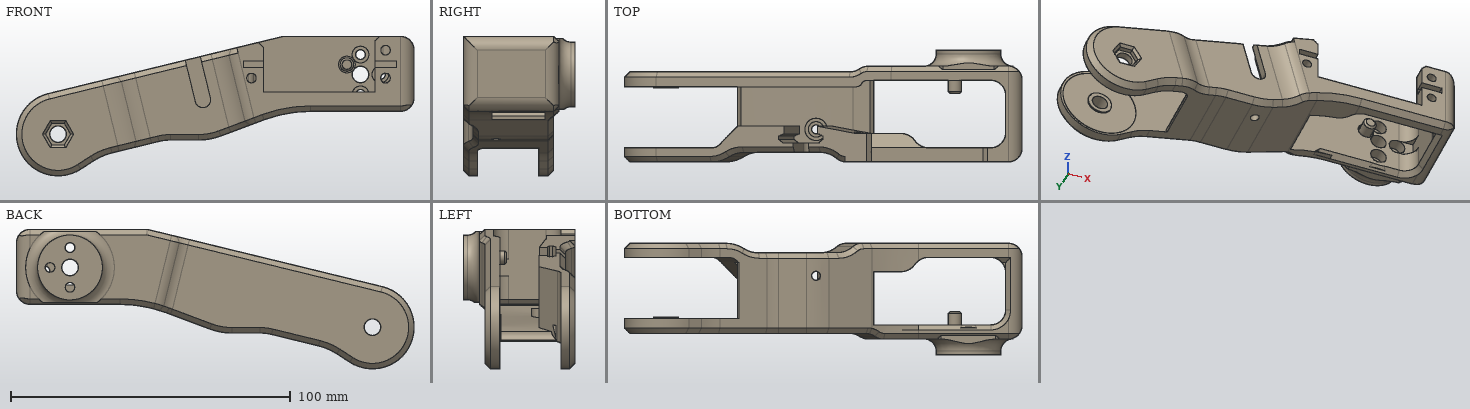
import cadquery as cq
import math

ARM_TILT = 13.7
PIVOT_RADIUS = 15.0
TOP_Z = 35.0
BASE_Z = 8.1
END_X = 127.3
REACH = 170.7

TAIL_ANGLE = -57.0
ARM_LOWER_V = -11.1
BELLY_Z = -2.1
RISE_SLOPE = 0.375
RISE_START_X = 54.4
CORNER_RADIUS = 5.0
LOWER_EDGE_RADII = (21.3, 17.1, 22.8, 47.0)
EDGE_CHAMFER = 2.0

PLATE = 5.1
FRONT_STEP = 3.4
STEP_IN_U = (19.8, 26.5, 31.7)
STEP_OUT_U = (59.9, 66.0, 69.5)

RAMP_U = (22.2, 30.0)
RAMP_BLEND = 1.7
BLOCK_Y = 13.0
BLOCK_TAPER_U = (58.5, 73.1)
BLOCK_END_Y = 10.2
BLOCK_LOWER_SLOPE = 0.34
BLOCK_LOWER_X = 25.6
BLOCK_LOWER_Z = 0.9

BACK_INNER_Y = (26.9, 29.2)
BACK_OUTER_Y = (32.3, 34.3)
BACK_OVERLAP = 0.7
BACK_OUTER_BEND_U = (71.0, 77.5)
BACK_INNER_BEND_X = (68.0, 71.9)

END_WALL_INNER_X = 121.4
INNER_RADIUS = 5.3
MOUTH_BEVEL = 1.8
WINDOW_X = (73.4, 113.3)
WINDOW_SILL_Z = 15.1
WINDOW_LIPS = (4.0, 1.7)
GUSSET_X = (84.0, 93.9)

WEB_NOSE_X = 25.5
WEB_NOSE_Z = -1.5
WEB_FOOT_Z = -4.5
WEB_NOSE_BULGE = 0.35
WEB_CREST_X = 45.5
WEB_CREST_Z = 2.7
WEB_END_SLOPE = 0.4
WEB_LEDGE_Z = 7.8
WEB_LEDGE_X = (66.9, 74.3)
WEB_ROUND = 1.3

SLOT_U = 53.2
SLOT_WIDTH = 5.5
SLOT_END_V = -3.1
HEAD_HALF = 8.1
HEAD_FLAT_HALF = 6.5
HEAD_OPENING_HALF = 6.1
HEAD_Y = (6.8, 8.1, 9.2, 10.0)

POST_X = 53.6
POST_Y = 11.7
POST_DIAMETER = 8.0
POST_TOP_Z = 6.7
POST_BORE = 5.5
POST_BORE_DEPTH = 1.4
POST_HOLE = 3.1

PIVOT_HOLE = 5.8
HEX_CORNERS = 9.0
HEX_MOUTH_CORNERS = 11.1
HEX_DEPTH = 2.5
HEX_MOUTH_DEPTH = 1.0
WASHER_DISC = 28.0
WASHER_DEPTH = 0.1
WASHER_PAD = 9.0
WASHER_PAD_RISE = 0.4

BOSS_X = 108.1
BOSS_Z = 21.3
BOSS_DIAMETER = 23.2
BOSS_FACE_Y = 40.0
BOSS_FLARE = 4.3
BOSS_LIP = 1.3
BOSS_HOLE = 5.8
SCREW_CIRCLE_RADIUS = 7.1
SCREW_HOLE = 3.4
SCREW_BORE = 6.0
SCREW_BORE_DEPTH = 4.3
PIN_X = 103.3
PIN_Z = 24.9
PIN_DIAMETER = 4.8
PIN_TIP_Y = 24.5
PIN_CHAMFER = 0.7
PIN_SEAT_DEPTH = 1.1

COVER_HOLE = 3.4
COVER_HOLES = ((69.2, 20.0), (117.1, 20.0), (117.1, 30.0))
COVER_HOLE_DEPTH = 14.2
GROOVES_X = ((66.3, WINDOW_X[0]), (WINDOW_X[1], 121.0))
GROOVE_Z = 23.9
GROOVE_HEIGHT = 2.3
GROOVE_DEPTH = 3.5

SIN = math.sin(math.radians(ARM_TILT))
COS = math.cos(math.radians(ARM_TILT))
ARM_DIRECTION = cq.Vector(COS, 0, SIN)


def side_prism(wire, y_from, y_to):
    """Extrude an XZ sketch made by `wire(workplane)` from y_from to y_to."""
    plane = cq.Workplane("XZ", origin=(0, y_from, 0))
    return wire(plane).extrude(y_from - y_to)


def cylinder(x, z, diameter, y_from, y_to):
    return side_prism(lambda w: w.center(x, z).circle(diameter / 2), y_from, y_to)


def box(x_from, x_to, y_from, y_to, z_from, z_to):
    size = (x_to - x_from, y_to - y_from, z_to - z_from)
    return cq.Workplane().box(*size, centered=False).translate((x_from, y_from, z_from))


def arm_plan(v_from):
    """Workplane with local axes u and Y, starting at v_from along the arm's cross direction."""
    origin = (-v_from * SIN, 0, v_from * COS)
    return cq.Workplane(cq.Plane(origin=origin, xDir=(COS, 0, SIN), normal=(-SIN, 0, COS)))


def middle(along, across):
    """Middle of a step given its two places along and its two levels across."""
    return (sum(along) / 2, sum(across) / 2)


def step_turn(along, level_from, level_to):
    """Point of a step where the bend reverses; along = (start, turn, end)."""
    share = (along[1] - along[0]) / (along[2] - along[0])
    return (along[1], level_from + share * (level_to - level_from))


def s_bend(sketch, turn, end):
    """Two tangent arcs meeting at `turn`, continuing the straight line before them."""
    first = sketch.tangentArcPoint(turn, relative=False)
    return first.tangentArcPoint(end, relative=False)


def outline_prism(y_from, y_to):
    """Full side outline of the part."""
    tail = math.radians(TAIL_ANGLE)
    tail_point = (PIVOT_RADIUS * math.cos(tail), PIVOT_RADIUS * math.sin(tail))
    tail_slope = -1 / math.tan(tail)
    arm_slope = SIN / COS
    arm_lower_z = ARM_LOWER_V / COS
    neck_x = (arm_lower_z - tail_point[1] + tail_slope * tail_point[0]) / (tail_slope - arm_slope)
    neck = (neck_x, arm_lower_z + arm_slope * neck_x)
    belly_start = ((BELLY_Z - arm_lower_z) / arm_slope, BELLY_Z)
    rise_start = (RISE_START_X, BELLY_Z)
    rise_end = (RISE_START_X + (BASE_Z - BELLY_Z) / RISE_SLOPE, BASE_Z)
    top_start = ((TOP_Z * COS - PIVOT_RADIUS) / SIN, TOP_Z)

    def wire(w):
        return (
            w.moveTo(-PIVOT_RADIUS * SIN, PIVOT_RADIUS * COS)
            .lineTo(*top_start)
            .lineTo(END_X, TOP_Z)
            .lineTo(END_X, BASE_Z)
            .lineTo(*rise_end)
            .lineTo(*rise_start)
            .lineTo(*belly_start)
            .lineTo(*neck)
            .lineTo(*tail_point)
            .threePointArc((-PIVOT_RADIUS, 0), (-PIVOT_RADIUS * SIN, PIVOT_RADIUS * COS))
            .close()
        )

    def round_corner(body, x, z, radius):
        at = cq.selectors.BoxSelector((x - 0.1, y_from - 1.4, z - 0.1), (x + 0.1, y_to + 1.4, z + 0.1))
        return body.edges("|Y").edges(at).fillet(radius)

    body = side_prism(wire, y_from, y_to)
    for corner, radius in zip((neck, belly_start, rise_start, rise_end), LOWER_EDGE_RADII):
        body = round_corner(body, *corner, radius)
    for z in (BASE_Z, TOP_Z):
        body = round_corner(body, END_X, z, CORNER_RADIUS)
    return body


def is_outer_rim(edge, y_from, y_to):
    """True for the edges of an outer face that run along the side outline."""
    span = edge.endPoint() - edge.startPoint()
    crosses_face = abs(span.dot(ARM_DIRECTION)) < 0.01 and abs(span.y) < 0.01 and span.Length > PIVOT_RADIUS
    joins_faces = abs(span.y) > 0.9 * span.Length
    return y_from < edge.Center().y < y_to and not crosses_face and not joins_faces


def bevel_outer_rim(plate, y_from, y_to):
    rims = [e for e in plate.edges().vals() if is_outer_rim(e, y_from, y_to)]
    return plate.newObject(rims).chamfer(EDGE_CHAMFER)


def front_arm():
    """Stepped front arm together with the block on its inner side."""
    plan = arm_plan(-REACH).moveTo(-REACH, 0).lineTo(STEP_IN_U[0], 0)
    plan = s_bend(plan, step_turn(STEP_IN_U, 0, FRONT_STEP), (STEP_IN_U[2], FRONT_STEP))
    plan = plan.lineTo(STEP_OUT_U[0], FRONT_STEP)
    plan = s_bend(plan, step_turn(STEP_OUT_U, FRONT_STEP, 0), (STEP_OUT_U[2], 0))
    blend_rise = RAMP_BLEND * math.sqrt(0.5)
    plan = (
        plan.lineTo(REACH, 0)
        .lineTo(REACH, BLOCK_END_Y)
        .lineTo(BLOCK_TAPER_U[1], BLOCK_END_Y)
        .lineTo(BLOCK_TAPER_U[0], BLOCK_Y)
        .lineTo(RAMP_U[1], BLOCK_Y)
        .lineTo(RAMP_U[0] + blend_rise, PLATE + blend_rise)
        .tangentArcPoint((RAMP_U[0] - RAMP_BLEND, PLATE), relative=False)
        .lineTo(-REACH, PLATE)
        .close()
    )
    arm = outline_prism(0, BLOCK_Y).intersect(plan.extrude(2 * REACH))
    arm = bevel_outer_rim(arm, -1.4, PLATE - 0.1)

    square_rim = arm_plan(-REACH).moveTo(STEP_OUT_U[2], 0).rect(REACH, PLATE, centered=False)
    above_base = box(0, END_X, 0, PLATE, BASE_Z + CORNER_RADIUS, TOP_Z)
    upper = outline_prism(0, PLATE).intersect(above_base).intersect(square_rim.extrude(2 * REACH))
    return arm.union(upper).cut(below_block())


def below_block():
    """Space under the tapered front end of the block."""

    def wire(w):
        drop = BLOCK_LOWER_SLOPE * BLOCK_LOWER_X
        return w.polyline(
            [
                (0, BLOCK_LOWER_Z - drop),
                (BLOCK_LOWER_X, BLOCK_LOWER_Z),
                (BLOCK_LOWER_X, -REACH),
                (0, -REACH),
            ]
        ).close()

    return side_prism(wire, PLATE + RAMP_BLEND, BLOCK_Y)


def back_plate():
    """Rear arm and boss plate; the outer step follows the arm tilt, the inner one is upright."""
    outer = arm_plan(-REACH).moveTo(-REACH, 0).lineTo(-REACH, BACK_OUTER_Y[0])
    outer = outer.lineTo(BACK_OUTER_BEND_U[0], BACK_OUTER_Y[0])
    outer = s_bend(outer, middle(BACK_OUTER_BEND_U, BACK_OUTER_Y), (BACK_OUTER_BEND_U[1], BACK_OUTER_Y[1]))
    outer = outer.lineTo(REACH, BACK_OUTER_Y[1]).lineTo(REACH, 0).close()

    inner = cq.Workplane("XY", origin=(0, 0, -REACH)).moveTo(-REACH, 0).lineTo(-REACH, BACK_INNER_Y[0])
    inner = inner.lineTo(BACK_INNER_BEND_X[0], BACK_INNER_Y[0])
    inner = s_bend(inner, middle(BACK_INNER_BEND_X, BACK_INNER_Y), (BACK_INNER_BEND_X[1], BACK_INNER_Y[1]))
    inner = inner.lineTo(REACH, BACK_INNER_Y[1]).lineTo(REACH, 0).close()

    plate = outline_prism(BACK_INNER_Y[0], BACK_OUTER_Y[1]).intersect(outer.extrude(2 * REACH))
    plate = bevel_outer_rim(plate, BACK_OUTER_Y[0] - 0.3, BACK_OUTER_Y[1] + 1.4)
    return plate.cut(inner.extrude(2 * REACH))


def end_wall():
    wall_y = (EDGE_CHAMFER, BACK_OUTER_Y[1] - EDGE_CHAMFER)
    return outline_prism(*wall_y).intersect(box(WINDOW_X[1], END_X, *wall_y, 0, TOP_Z))


def opening():
    """Well between the front rail, the end wall and the back plate, open above and below."""
    well = box(WINDOW_X[0], END_WALL_INNER_X, PLATE, BACK_INNER_Y[1], -REACH, REACH)
    return well.edges("|Z and >X").fillet(INNER_RADIUS)


def opening_flare():
    """Bevel around the lower mouth of the opening, at the back plate and the end wall."""
    x_to = END_WALL_INNER_X + MOUTH_BEVEL
    y_to = BACK_INNER_Y[1] + MOUTH_BEVEL
    mouth = (
        cq.Workplane("XY", origin=(0, 0, BASE_Z))
        .moveTo(GUSSET_X[0], PLATE)
        .lineTo(x_to, PLATE)
        .lineTo(x_to, y_to - INNER_RADIUS - MOUTH_BEVEL)
        .radiusArc((x_to - INNER_RADIUS - MOUTH_BEVEL, y_to), -INNER_RADIUS - MOUTH_BEVEL)
        .lineTo(GUSSET_X[0], y_to)
        .close()
    )
    return mouth.extrude(MOUTH_BEVEL, taper=45)


def end_envelope(back_y):
    """Block reaching back to back_y that rounds the two upright corners of the end wall."""
    block = box(-REACH, END_X, 0, back_y, -REACH, REACH)
    return block.edges("|Z and >X").fillet(CORNER_RADIUS)


def window():
    """Cut-out in the front plate with slanted lips at its two upper corners."""

    def wire(w):
        return w.polyline(
            [
                (WINDOW_X[0], WINDOW_SILL_Z),
                (WINDOW_X[1], WINDOW_SILL_Z),
                (WINDOW_X[1], TOP_Z - WINDOW_LIPS[1]),
                (WINDOW_X[1] + WINDOW_LIPS[1], TOP_Z),
                (WINDOW_X[0] - WINDOW_LIPS[0], TOP_Z),
                (WINDOW_X[0], TOP_Z - WINDOW_LIPS[0]),
            ]
        ).close()

    return side_prism(wire, 0, BLOCK_END_Y)


def gusset():
    """Sloped thickening along the foot of the rail."""
    depth = BLOCK_END_Y - PLATE
    section = [
        (PLATE, 0),
        (BLOCK_END_Y, 0),
        (BLOCK_END_Y, WINDOW_SILL_Z - depth),
        (PLATE, WINDOW_SILL_Z),
    ]
    slope = cq.Workplane("YZ", origin=(WINDOW_X[0], 0, 0)).polyline(section).close()
    slope = slope.extrude(GUSSET_X[1] - WINDOW_X[0])
    plan = cq.Workplane("XY").moveTo(WINDOW_X[0], BLOCK_END_Y).lineTo(GUSSET_X[0], BLOCK_END_Y)
    plan = s_bend(plan, middle(GUSSET_X, (PLATE, BLOCK_END_Y)), (GUSSET_X[1], PLATE))
    plan = plan.lineTo(WINDOW_X[0], PLATE).close()
    return slope.intersect(plan.extrude(TOP_Z)).intersect(outline_prism(PLATE, BLOCK_END_Y))


def web():
    """Floor between the two arms, following the lower edge of the outline."""
    web_y = (FRONT_STEP + EDGE_CHAMFER, BACK_INNER_Y[1] + BACK_OVERLAP)

    def wire(w):
        return (
            w.moveTo(WEB_NOSE_X + WEB_ROUND, -PIVOT_RADIUS)
            .lineTo(WEB_NOSE_X + WEB_ROUND, WEB_FOOT_Z - WEB_ROUND)
            .lineTo(WEB_NOSE_X, WEB_FOOT_Z)
            .sagittaArc((WEB_NOSE_X + WEB_ROUND, WEB_NOSE_Z), -WEB_NOSE_BULGE)
            .spline(
                [(WEB_CREST_X, WEB_CREST_Z), (WEB_LEDGE_X[0], WEB_LEDGE_Z)],
                tangents=[(1, WEB_END_SLOPE), (1, WEB_END_SLOPE)],
                includeCurrent=True,
            )
            .lineTo(WEB_LEDGE_X[1] - WEB_ROUND, WEB_LEDGE_Z)
            .lineTo(WEB_LEDGE_X[1], WEB_LEDGE_Z - WEB_ROUND)
            .lineTo(WEB_LEDGE_X[1], -PIVOT_RADIUS)
            .close()
        )

    return side_prism(wire, *web_y).intersect(outline_prism(*web_y))


def slide_slot():
    """Narrow slot through the arm face, and the bevelled channel behind it for a sliding head."""
    reach_v = PIVOT_RADIUS - SLOT_END_V
    slit_end_v = SLOT_END_V + SLOT_WIDTH / 2
    slit = arm_plan(slit_end_v).center(SLOT_U, 0).rect(SLOT_WIDTH, 2 * HEAD_Y[1]).extrude(reach_v)
    end_x = SLOT_U * COS - slit_end_v * SIN
    end_z = SLOT_U * SIN + slit_end_v * COS
    round_end = cylinder(end_x, end_z, SLOT_WIDTH, 0, HEAD_Y[1])
    half_profile = [
        (HEAD_FLAT_HALF, HEAD_Y[0]),
        (HEAD_HALF, HEAD_Y[1]),
        (HEAD_HALF, HEAD_Y[2]),
        (HEAD_FLAT_HALF, HEAD_Y[3]),
        (HEAD_OPENING_HALF, HEAD_Y[3]),
        (HEAD_OPENING_HALF, BLOCK_Y),
    ]
    mirrored = [(-u, y) for u, y in reversed(half_profile)]
    channel = arm_plan(-PIVOT_RADIUS).center(SLOT_U, 0).polyline(half_profile + mirrored).close()
    return slit.union(round_end), channel.extrude(2 * PIVOT_RADIUS)


def upright(diameter, z_from, z_to):
    """Upright cylinder on the axis of the screw post."""
    return cq.Workplane("XY", origin=(POST_X, POST_Y, z_from)).circle(diameter / 2).extrude(z_to - z_from)


def boss():
    """Round boss flaring out to meet the back plate."""
    radius = BOSS_DIAMETER / 2
    plate_y = BACK_OUTER_Y[1]
    arc_offset = BOSS_FLARE * (1 - math.sqrt(0.5))
    profile = (
        cq.Workplane("XY", origin=(BOSS_X, 0, BOSS_Z))
        .moveTo(0, BACK_INNER_Y[1])
        .lineTo(radius, BACK_INNER_Y[1])
        .lineTo(radius + BOSS_FLARE, plate_y - BOSS_LIP)
        .lineTo(radius + BOSS_FLARE, plate_y)
        .threePointArc((radius + arc_offset, plate_y + arc_offset), (radius, plate_y + BOSS_FLARE))
        .lineTo(radius, BOSS_FACE_Y)
        .lineTo(0, BOSS_FACE_Y)
        .close()
    )
    flare = profile.revolve(360, (0, 0), (0, 1))
    inset = EDGE_CHAMFER - BOSS_LIP
    bounds = box(0, END_X, 0, BOSS_FACE_Y, BASE_Z + inset, TOP_Z - inset)
    return flare.intersect(bounds).intersect(end_envelope(BOSS_FACE_Y))


def boss_holes():
    """Centre hole, three counterbored screw holes, the relief beside one of them and the pin seat."""
    holes = cylinder(BOSS_X, BOSS_Z, BOSS_HOLE, PLATE, BOSS_FACE_Y)
    bore_end = BACK_INNER_Y[1] + SCREW_BORE_DEPTH
    for angle in (-90, 0, 90):
        x = BOSS_X + SCREW_CIRCLE_RADIUS * math.cos(math.radians(angle))
        z = BOSS_Z + SCREW_CIRCLE_RADIUS * math.sin(math.radians(angle))
        holes = holes.union(cylinder(x, z, SCREW_HOLE, BACK_INNER_Y[0], BOSS_FACE_Y))
        holes = holes.union(cylinder(x, z, SCREW_BORE, BACK_INNER_Y[1] - INNER_RADIUS, bore_end))
    relief_z = BOSS_Z - SCREW_BORE / 2
    relief = box(
        BOSS_X + SCREW_CIRCLE_RADIUS,
        END_WALL_INNER_X,
        BACK_INNER_Y[1] - INNER_RADIUS,
        BACK_INNER_Y[1],
        relief_z,
        relief_z + SCREW_BORE,
    )
    pin_seat = cylinder(PIN_X, PIN_Z, SCREW_BORE, BACK_INNER_Y[0], BACK_INNER_Y[1] + PIN_SEAT_DEPTH)
    return holes.union(relief).union(pin_seat)


def pin():
    """Locating pin on the inner side of the back plate."""
    body = cylinder(PIN_X, PIN_Z, PIN_DIAMETER, PIN_TIP_Y, BACK_OUTER_Y[0])
    return body.faces("<Y").chamfer(PIN_CHAMFER)


def pivot_cuts():
    """Pivot hole with its hexagonal nut pocket, and the shallow washer seat inside the rear arm."""
    cuts = cylinder(0, 0, PIVOT_HOLE, 0, BACK_OUTER_Y[1])
    pocket = side_prism(lambda w: w.polygon(6, HEX_CORNERS), 0, HEX_DEPTH)
    mouth = cq.Workplane("XZ").polygon(6, HEX_MOUTH_CORNERS)
    mouth = mouth.workplane(offset=-HEX_MOUTH_DEPTH).polygon(6, HEX_CORNERS).loft()
    seat_end = BACK_INNER_Y[0] + WASHER_DEPTH
    seat = cylinder(0, 0, WASHER_DISC, BACK_INNER_Y[0] - WASHER_PAD_RISE, seat_end)
    return cuts.union(pocket).union(mouth), seat


def cover_fixings():
    """Screw holes and shallow grooves on both sides of the window."""
    cuts = cq.Workplane()
    for x, z in COVER_HOLES:
        cuts = cuts.add(cylinder(x, z, COVER_HOLE, 0, COVER_HOLE_DEPTH))
    for x_from, x_to in GROOVES_X:
        cuts = cuts.add(box(x_from, x_to, 0, GROOVE_DEPTH, GROOVE_Z, GROOVE_Z + GROOVE_HEIGHT))
    return cuts.combine()


slit, head_channel = slide_slot()
through_cuts, washer_seat = pivot_cuts()
washer_pad = cylinder(0, 0, WASHER_PAD, BACK_INNER_Y[0] - WASHER_PAD_RISE, BACK_OUTER_Y[0] - EDGE_CHAMFER)

frame = front_arm().cut(head_channel).union(back_plate()).union(end_wall()).cut(opening())

result = (
    frame.cut(opening_flare())
    .union(web())
    .union(gusset())
    .cut(window())
    .intersect(end_envelope(BACK_OUTER_Y[1]))
    .cut(slit)
    .union(upright(POST_DIAMETER, 0, POST_TOP_Z))
    .cut(upright(POST_BORE, POST_TOP_Z - POST_BORE_DEPTH, POST_TOP_Z))
    .cut(upright(POST_HOLE, BELLY_Z - 1.4, POST_TOP_Z))
    .union(boss())
    .cut(boss_holes())
    .union(pin())
    .cut(washer_seat)
    .union(washer_pad)
    .cut(through_cuts)
    .cut(cover_fixings())
)